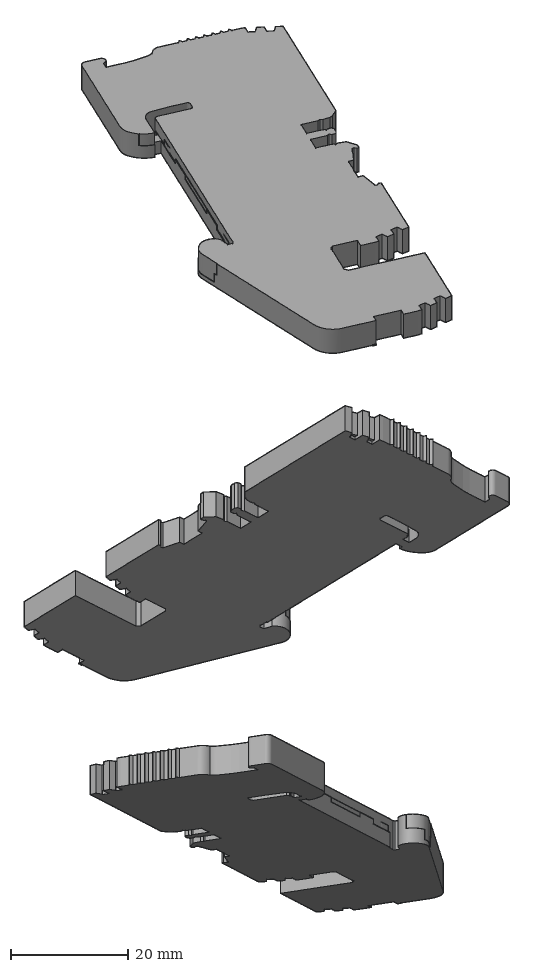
import cadquery as cq
import math


length = 86.1
height = 36.1
thickness = 5.2

latch_steps = 2
step_out = 0.95
step_drop = 3.1
latch_out = latch_steps * step_out
latch_bottom_y = height - latch_steps * step_drop
latch_flare = 0.1
latch_flare_drop = 0.8
groove_depth = 0.7
groove_top_drop = 1.9
latch_step_points = [
    (0.35, -1.3),
    (-groove_depth, -groove_top_drop),
    (-0.35, -step_drop),
    (step_out, -step_drop),
]

left_top_x = 2.5
left_wall_x = left_top_x - latch_out - latch_flare
heel_top_y = 4.4
heel_top_radius = 0.8
heel_corner = 0.9
heel_notch_y = 3.7
heel_notch_x = 1.55
heel_hook_x = 1.0
heel_wall_x = 2.7
heel_wall_top_y = 7.2
heel_taper_x = 2.6
heel_taper_y = 8.8
shoulder_top_y = 14.3
shoulder_mid = (1.7, 12.5)
shoulder_end = (2.2, 11.2)
shoulder_outer_radius = 1.8
shoulder_inner_radius = 2.8
tooth_count = 7
teeth_span = 9.0
tooth_pitch = teeth_span / (tooth_count - 1)
tooth_half_height = 0.37
lowest_tooth_y = 18.1

slot_floor_y = 29.1
slot_left_x = 29.6
slot_right_x = 36.7
post_left_x = 32.3
post_right_x = 34.1
post_top_y = 34.0
post_bevel_x = 0.5
post_bevel_y = 0.3
dent_y = 32.6
dent_half_height = 0.4
dent_depth = 0.3
slot_left_lead_in = [(29.45, 34.4), (29.2, 34.95), (28.0, height)]
slot_right_lead_in = [(38.4, height), (36.85, 34.6)]

dish_centre_x = 44.5
dish_half_points = [(5.3, height), (5.25, 35.65), (5.6, 35.2), (5.5, 34.9), (2.3, 33.9), (2.3, 33.0)]

block_right_x = 63.2
slot_wall_left_x = 63.6
slot_wall_right_x = 70.95
latch_foot_y = 26.5
deep_floor_y = 21.5
deep_left_bevel = 0.4
deep_right_bevel = 0.6
right_top_x = 83.95
right_wall_x = right_top_x + latch_out + latch_flare
right_recess_x = 84.7

slope_angle = math.radians(23.2)
foot_x = 57.1
foot_y = 2.9
foot_radius = 2.75
slope_end_x = 83.2

ledge_y = 6.5
ledge_left_x = 18.8
ledge_right_x = 55.5
ledge_bevel = 0.35
foot_neck_points = [(56.6, 6.55), (56.9, 6.3), (56.8, 5.4), (55.4, 4.9)]
hook_slot_left_x = 17.0
hook_slot_top_y = 13.5
hook_slot_taper_y = 9.9
hook_slot_radius = 0.5
hook_slot_bend_radius = 1.7
hook_slot_bend_x = 17.1
hook_top_y = 4.9
hook_tip_x = 23.1
hook_flat_end_x = 19.1
hook_corner = (21.35, 1.0)
hook_corner_radius = 2.9
hook_nose_radius = 5.8

shell_proud = 0.2
shell_root = 0.4
shell_left_x = 19.5
shell_right_x = 55.1
shell_pocket_depth = 0.1
shell_low_z = 2.7
shell_high_z = 3.5
shell_high_left_x = 29.2
shell_high_right_x = 49.2
shell_pocket_left_x = 34.0
shell_pocket_right_x = 44.3

catch_length = 2.5
catch_proud = 0.1
catch_slant = 0.5
catch_top_z = 3.8
catch_left_x = 23.7
catch_right_x = 54.7

upper_setback = 0.1
hook_joint_x = 22.3
foot_joint_z = 0.9
foot_joint_left_x = 56.4
foot_joint_right_x = 60.7
foot_joint_end_x = 61.2

stop_left_x = 20.6
stop_right_x = 22.4

lip_height = 0.7
lip_thickness = 0.2

undercut_height = 0.6
undercut_depth = 0.3


def latch_edge(corner_x, side):
    """Points down a stepped latch edge; side is +1 facing right, -1 facing left."""
    points = [(corner_x, height)]
    for step in range(latch_steps):
        start_x = corner_x + side * step * step_out
        start_y = height - step * step_drop
        points += [(start_x + side * dx, start_y + dy) for dx, dy in latch_step_points]
    return points + [
        (corner_x + side * (latch_out + latch_flare), latch_bottom_y - latch_flare_drop),
    ]


def dented_wall(x, into_wall):
    """Points down a slot wall with a V dent; into_wall is the direction of the material."""
    return [
        (x, dent_y + dent_half_height),
        (x + into_wall * dent_depth, dent_y),
        (x, dent_y - dent_half_height),
        (x, slot_floor_y),
    ]


def dish_half(side):
    """Points from the rim of the dish to its floor on one side."""
    return [(dish_centre_x + side * dx, y) for dx, y in dish_half_points]


def left_teeth():
    """Points up the left wall around the pointed grip teeth."""
    points = []
    for index in range(tooth_count):
        tip_y = lowest_tooth_y + index * tooth_pitch
        points += [
            (left_wall_x, tip_y - tooth_half_height),
            (0, tip_y),
            (left_wall_x, tip_y + tooth_half_height),
        ]
    return points


def add_points(edge, points):
    for point in points:
        edge = edge.lineTo(*point)
    return edge


def add_hook_and_ledge(edge):
    edge = edge.lineTo(hook_flat_end_x, 0)
    edge = edge.radiusArc(hook_corner, -hook_corner_radius)
    edge = edge.radiusArc((hook_tip_x, hook_top_y), -hook_nose_radius)
    edge = edge.lineTo(hook_slot_bend_x + hook_slot_bend_radius, hook_top_y)
    edge = edge.radiusArc((hook_slot_bend_x, hook_top_y + hook_slot_bend_radius), hook_slot_bend_radius)
    edge = edge.lineTo(hook_slot_left_x, hook_slot_taper_y)
    edge = edge.lineTo(hook_slot_left_x, hook_slot_top_y - hook_slot_radius)
    edge = edge.radiusArc((hook_slot_left_x + hook_slot_radius, hook_slot_top_y), hook_slot_radius)
    edge = edge.lineTo(ledge_left_x - hook_slot_radius, hook_slot_top_y)
    edge = edge.radiusArc((ledge_left_x, hook_slot_top_y - hook_slot_radius), hook_slot_radius)
    edge = edge.lineTo(ledge_left_x, ledge_y + ledge_bevel)
    edge = edge.lineTo(ledge_left_x + ledge_bevel, ledge_y)
    return edge.lineTo(ledge_right_x, ledge_y)


def add_foot(edge):
    """The round foot tip, the slope tangent to it, and the rounded corner into the right wall."""
    edge = add_points(edge, foot_neck_points)
    slope_start_x = foot_x + foot_radius * math.sin(slope_angle)
    slope_start_y = foot_y - foot_radius * math.cos(slope_angle)
    edge = edge.threePointArc((foot_x - foot_radius, foot_y), (slope_start_x, slope_start_y))
    slope_end_y = slope_start_y + (slope_end_x - slope_start_x) * math.tan(slope_angle)
    edge = edge.lineTo(slope_end_x, slope_end_y)
    corner_radius = (right_wall_x - slope_end_x) / (1 - math.sin(slope_angle))
    wall_start_y = slope_end_y + corner_radius * math.cos(slope_angle)
    return edge.radiusArc((right_wall_x, wall_start_y), -corner_radius)


def add_right_block(edge):
    edge = add_points(edge, [
        (right_wall_x, deep_floor_y),
        (right_recess_x, deep_floor_y),
        (right_recess_x, latch_foot_y),
        (right_wall_x, latch_foot_y),
    ])
    edge = add_points(edge, reversed(latch_edge(right_top_x, 1)))
    edge = add_points(edge, [
        (slot_wall_right_x, height),
        (slot_wall_right_x, deep_floor_y + deep_right_bevel),
        (slot_wall_right_x - deep_right_bevel, deep_floor_y),
        (slot_wall_left_x + deep_left_bevel, deep_floor_y),
        (slot_wall_left_x, deep_floor_y + deep_left_bevel),
        (slot_wall_left_x, latch_foot_y),
        (block_right_x + latch_out + latch_flare, latch_foot_y),
    ])
    return add_points(edge, reversed(latch_edge(block_right_x, 1)))


def add_dish_and_marker_slots(edge):
    edge = add_points(edge, dish_half(1))
    edge = add_points(edge, reversed(dish_half(-1)))
    edge = add_points(edge, slot_right_lead_in)
    edge = add_points(edge, dented_wall(slot_right_x, 1))
    edge = add_points(edge, reversed(dented_wall(post_right_x, -1)))
    edge = add_points(edge, [
        (post_right_x, post_top_y - post_bevel_y),
        (post_right_x - post_bevel_x, post_top_y),
        (post_left_x + post_bevel_x, post_top_y),
        (post_left_x, post_top_y - post_bevel_y),
    ])
    edge = add_points(edge, dented_wall(post_left_x, 1))
    edge = add_points(edge, reversed(dented_wall(slot_left_x, -1)))
    return add_points(edge, slot_left_lead_in)


def add_left_side(edge):
    edge = add_points(edge, latch_edge(left_top_x, -1))
    edge = add_points(edge, reversed(left_teeth()))
    edge = edge.lineTo(left_wall_x, shoulder_top_y)
    edge = edge.radiusArc(shoulder_mid, -shoulder_outer_radius)
    edge = edge.radiusArc(shoulder_end, shoulder_inner_radius)
    edge = add_points(edge, [
        (heel_taper_x, heel_taper_y),
        (heel_wall_x, heel_wall_top_y),
        (heel_wall_x, heel_notch_y),
        (heel_notch_x, heel_notch_y),
        (heel_hook_x, heel_top_y),
        (heel_top_radius, heel_top_y),
    ])
    edge = edge.radiusArc((0, heel_top_y - heel_top_radius), -heel_top_radius)
    edge = edge.lineTo(0, heel_corner)
    return edge.radiusArc((heel_corner, 0), -heel_corner)


def housing():
    edge = cq.Workplane("XY").moveTo(heel_corner, 0)
    edge = add_hook_and_ledge(edge)
    edge = add_foot(edge)
    edge = add_right_block(edge)
    edge = add_dish_and_marker_slots(edge)
    edge = add_left_side(edge)
    return edge.close().extrude(thickness)


def box(x_range, y_range, z_range):
    sizes = [high - low for low, high in (x_range, y_range, z_range)]
    return cq.Workplane("XY").box(*sizes, centered=False).translate((x_range[0], y_range[0], z_range[0]))


def ledge_plate(points):
    """A plate on the ledge, shaped in XZ, that stands out as far as the lower shell."""
    plane = cq.Workplane("XZ", origin=(0, ledge_y + shell_root, 0))
    return plane.polyline(points).close().extrude(shell_proud + shell_root)


def lower_shell():
    shell = ledge_plate([
        (shell_left_x, 0),
        (shell_left_x, shell_low_z),
        (shell_high_left_x, shell_low_z),
        (shell_high_left_x, shell_high_z),
        (shell_high_right_x, shell_high_z),
        (shell_high_right_x, shell_low_z),
        (shell_right_x, shell_low_z),
        (shell_right_x, 0),
    ])
    pocket = box(
        (shell_pocket_left_x, shell_pocket_right_x),
        (ledge_y - shell_proud, ledge_y - shell_proud + shell_pocket_depth),
        (shell_low_z, shell_high_z),
    )
    return shell.cut(pocket)


def catch(outer_x, inward):
    """A small catch; its end facing inward along the ledge is slanted back to the ledge."""
    inner_x = outer_x + inward * catch_length
    front_y = ledge_y - catch_proud
    outline = [
        (outer_x, ledge_y + shell_root),
        (outer_x, front_y),
        (inner_x - inward * catch_slant, front_y),
        (inner_x, ledge_y),
        (inner_x, ledge_y + shell_root),
    ]
    base = cq.Workplane("XY", origin=(0, 0, shell_low_z))
    return base.polyline(outline).close().extrude(catch_top_z - shell_low_z)


def stop_block():
    return box((stop_left_x, stop_right_x), (hook_top_y, ledge_y), (0, shell_low_z))


def right_lip():
    return box((right_wall_x, length), (deep_floor_y - lip_height, deep_floor_y), (0, lip_thickness))


def groove_undercut(step):
    """Relief at the underside of one groove in the left latch edge."""
    floor_x = left_top_x - step * step_out + groove_depth
    bottom_y = height - (step + 1) * step_drop
    top_y = height - step * step_drop - groove_top_drop
    return box((floor_x - groove_depth, floor_x + undercut_depth), (bottom_y, top_y), (0, undercut_height))


def upper_setbacks(body):
    """Thin slices taken off the hook tip and the foot where the upper shell sits back."""
    hook = box((hook_joint_x, foot_x - foot_radius), (0, hook_top_y), (shell_low_z, thickness))
    foot = box((foot_x - foot_radius, foot_joint_end_x), (0, foot_y), (shell_low_z, thickness))
    tab = box((foot_joint_left_x, foot_joint_right_x), (0, foot_y), (foot_joint_z, shell_low_z))
    hook_slice = hook.cut(body.translate((-upper_setback, 0, 0)))
    foot_slice = foot.union(tab).cut(body.translate((0, upper_setback, 0)))
    return hook_slice.union(foot_slice)


body = housing()
result = (
    body.cut(upper_setbacks(body))
    .union(lower_shell())
    .union(catch(catch_left_x, 1))
    .union(catch(catch_right_x, -1))
    .union(stop_block())
    .union(right_lip())
)
for step in range(latch_steps):
    result = result.cut(groove_undercut(step))